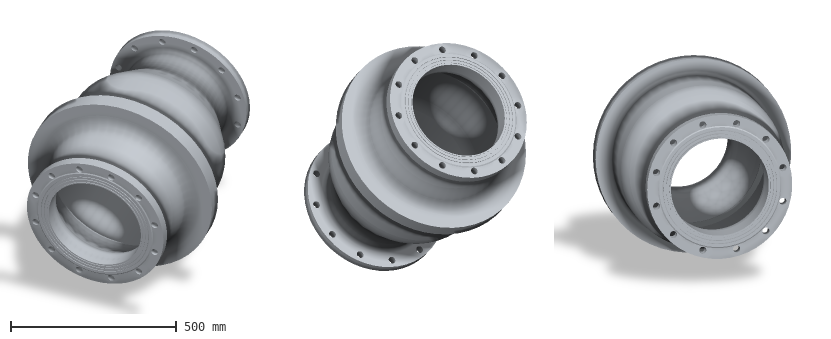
import cadquery as cq
import math


length = 700.0
outlet_face = length / 2
inlet_face = -length / 2
bore_radius = 300.0 / 2
overlap = 7.0

end_flange_radius = 445.0 / 2
end_flange_depth = 31.5
raised_face_radius = 189.0
raised_face_height = 2.0
raised_face_bevel = 3.5
outlet_neck_fillet = 13.0
inlet_neck_fillet = 12.0

groove_width = 2.45
groove_depth = 2.0
groove_pitch = 10.0
inner_groove_radius = 155.5
groove_count = 3

bolt_hole_diameter = 22.0
bolt_circle_radius = 401.0 / 2
bolt_count = 12

mid_flange_radius = 600.0 / 2
mid_flange_back = -100.0
mid_flange_front = -149.0
mid_flange_back_fillet = 12.0
mid_flange_front_fillet = 40.0

chamber_radius = 502.0 / 2
outlet_neck_radius = 332.0 / 2
shoulder_y = 88.0
outlet_throat_y = 235.0
shoulder_round = 117.5
outlet_throat_round = 147.0
chamber_wall = (502.0 - 470.0) / 2
outlet_neck_wall = outlet_neck_radius - bore_radius

inlet_neck_radius = 326.0 / 2
inlet_root_radius = 231.0
inlet_bend_radius = 192.0
inlet_bend_y = -255.5
inlet_throat_y = -290.0
inlet_bend_round = 186.0
inlet_throat_round = 29.0

seat_radius = 218.5
seat_depth = 5.0
passage_bend_radius = 193.0
passage_bend_y = -224.0
passage_throat_y = -288.5
passage_bend_round = 392.0
passage_throat_round = 45.5


def corner_cut(previous, corner, following, rounding):
    """Start, middle and end of the arc that rounds one corner."""
    def direction(target):
        span = math.dist(corner, target)
        return ((target[0] - corner[0]) / span, (target[1] - corner[1]) / span)

    before = direction(previous)
    after = direction(following)
    half_angle = math.acos(before[0] * after[0] + before[1] * after[1]) / 2
    tangent = rounding / math.tan(half_angle)
    to_arc = rounding / math.sin(half_angle) - rounding
    bisector_length = 2 * math.cos(half_angle)

    start = tuple(c + tangent * d for c, d in zip(corner, before))
    middle = tuple(c + to_arc * (a + b) / bisector_length for c, a, b in zip(corner, before, after))
    end = tuple(c + tangent * d for c, d in zip(corner, after))
    return start, middle, end


def revolved(outline):
    """Turn (radius, y, corner rounding) points, closed along the axis, about Y."""
    points = [(radius, y) for radius, y, _ in outline]
    profile = cq.Workplane("XY").moveTo(0, points[0][1]).lineTo(*points[0])
    for i in range(1, len(points) - 1):
        rounding = outline[i][2]
        if rounding:
            start, middle, end = corner_cut(points[i - 1], points[i], points[i + 1], rounding)
            profile = profile.lineTo(*start).threePointArc(middle, end)
        else:
            profile = profile.lineTo(*points[i])
    profile = profile.lineTo(*points[-1]).lineTo(0, points[-1][1]).close()
    return profile.revolve(360, (0, 0, 0), (0, 1, 0))


def outer_body():
    raised_top_radius = raised_face_radius - raised_face_bevel
    return revolved([
        (raised_top_radius, outlet_face, 0),
        (raised_face_radius, outlet_face - raised_face_height, 0),
        (end_flange_radius, outlet_face - raised_face_height, 0),
        (end_flange_radius, outlet_face - end_flange_depth, 0),
        (outlet_neck_radius, outlet_face - end_flange_depth, outlet_neck_fillet),
        (outlet_neck_radius, outlet_throat_y, outlet_throat_round),
        (chamber_radius, shoulder_y, shoulder_round),
        (chamber_radius, mid_flange_back, mid_flange_back_fillet),
        (mid_flange_radius, mid_flange_back, 0),
        (mid_flange_radius, mid_flange_front, 0),
        (inlet_root_radius, mid_flange_front, mid_flange_front_fillet),
        (inlet_bend_radius, inlet_bend_y, inlet_bend_round),
        (inlet_neck_radius, inlet_throat_y, inlet_throat_round),
        (inlet_neck_radius, inlet_face + end_flange_depth, inlet_neck_fillet),
        (end_flange_radius, inlet_face + end_flange_depth, 0),
        (end_flange_radius, inlet_face + raised_face_height, 0),
        (raised_face_radius, inlet_face + raised_face_height, 0),
        (raised_top_radius, inlet_face, 0),
    ])


def flow_passage():
    """Inner space; its outlet half follows the outside at the wall thickness."""
    return revolved([
        (bore_radius, outlet_face + overlap, 0),
        (bore_radius, outlet_throat_y, outlet_throat_round + outlet_neck_wall),
        (chamber_radius - chamber_wall, shoulder_y, shoulder_round - chamber_wall),
        (chamber_radius - chamber_wall, mid_flange_front, 0),
        (seat_radius, mid_flange_front, 0),
        (seat_radius, mid_flange_front - seat_depth, 0),
        (passage_bend_radius, passage_bend_y, passage_bend_round),
        (bore_radius, passage_throat_y, passage_throat_round),
        (bore_radius, inlet_face - overlap, 0),
    ])


def gasket_grooves(face_y):
    """Concentric ring grooves in the raised face at face_y."""
    rings = cq.Workplane("XY")
    for i in range(groove_count):
        radius = inner_groove_radius + i * groove_pitch
        rings = rings.union(
            cq.Workplane("XY", origin=(0, face_y, 0))
            .moveTo(radius, 0)
            .rect(groove_width, 2 * groove_depth)
            .revolve(360, (0, 0, 0), (0, 1, 0))
        )
    return rings


def bolt_holes(flange_center_y):
    """Ring of through holes straddling the X and Z axes."""
    return (
        cq.Workplane("XZ", origin=(0, flange_center_y, 0))
        .polarArray(bolt_circle_radius, 180 / bolt_count, 360, bolt_count)
        .circle(bolt_hole_diameter / 2)
        .extrude(end_flange_depth / 2, both=True)
    )


result = outer_body().cut(flow_passage())
for face_y, inward in ((outlet_face, -1), (inlet_face, 1)):
    result = result.cut(gasket_grooves(face_y))
    result = result.cut(bolt_holes(face_y + inward * end_flange_depth / 2))